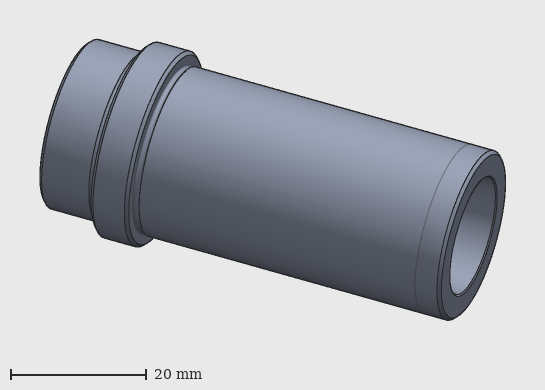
import cadquery as cq


total_length = 64.0
body_diameter = 26.0
flange_diameter = 30.0
bore_diameter = 18.0
flange_start = 9.0
flange_width = 6.0
groove_width = 1.0
rim_chamfer = 0.5
bore_chamfer = 0.2
lead_in_length = 4.0

body_radius = body_diameter / 2
flange_radius = flange_diameter / 2
bore_radius = bore_diameter / 2
flange_end = flange_start + flange_width
lead_in_start = total_length - lead_in_length
groove_depth = groove_width / 2


def add_groove(profile, start):
    """Append a half-round relief groove that dips below the body surface."""
    bottom = (start + groove_width / 2, body_radius - groove_depth)
    end = (start + groove_width, body_radius)
    return profile.threePointArc(bottom, end)


def add_flange(profile):
    """Append the flange with both of its rims chamfered."""
    return (
        profile.lineTo(flange_start, flange_radius - rim_chamfer)
        .lineTo(flange_start + rim_chamfer, flange_radius)
        .lineTo(flange_end - rim_chamfer, flange_radius)
        .lineTo(flange_end, flange_radius - rim_chamfer)
        .lineTo(flange_end, body_radius)
    )


def make_bushing():
    """Revolve the half section: outer surface from X = 0 to the far end, then back along the bore."""
    profile = (
        cq.Workplane("XY")
        .moveTo(0, bore_radius + bore_chamfer)
        .lineTo(0, body_radius - rim_chamfer)
        .lineTo(rim_chamfer, body_radius)
        .lineTo(flange_start - groove_width, body_radius)
    )
    profile = add_groove(profile, flange_start - groove_width)
    profile = add_flange(profile)
    profile = add_groove(profile, flange_end)

    profile = (
        profile.lineTo(lead_in_start, body_radius)
        .lineTo(total_length - rim_chamfer, body_radius)
        .lineTo(total_length, body_radius - rim_chamfer)
        .lineTo(total_length, bore_radius + bore_chamfer)
        .lineTo(total_length - bore_chamfer, bore_radius)
        .lineTo(bore_chamfer, bore_radius)
        .close()
    )
    return profile.revolve(360, (0, 0, 0), (1, 0, 0), clean=False)


result = make_bushing()